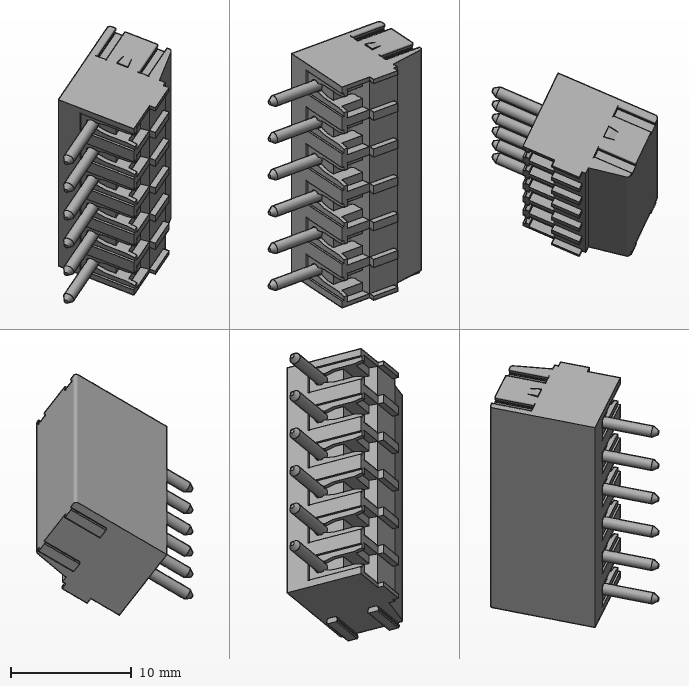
import cadquery as cq
import math


POLES = 6
HEIGHT = 21.0
PITCH = HEIGHT / POLES
DEPTH = 9.13
WIDTH = 7.01
SHOULDER_Y = 5.7
SHOULDER_X = 6.47
MATING_END_X = 5.87
CORNER_RADIUS = 0.28

RIB_REACH = 0.55
RIB_THICKNESS = 0.78
RIB_START_Y = 2.85
RIB_END_Y = 5.35

PIN_X = 3.05
PIN_RADIUS = 0.47
PIN_LENGTH = 4.53
PIN_ROOT = 1.73
TIP_LENGTH = 0.47
TIP_RADIUS = 0.17
PIN_CLEARANCE = 0.06

POCKET_X = 2.0
POCKET_HEIGHT = 2.18
POCKET_DEPTH = 0.2

GROOVE_FLOOR_Y = 0.56
GROOVE_TIP_HEIGHT = 0.78
GROOVE_TIP_X = PIN_X + 0.35
GROOVE_HEIGHT = 1.19
GROOVE_FULL_X = 4.25
FLARE_X = 6.25
FLARE_HEIGHT = 1.49

SLOT_X = 5.05
SLOT_FLOOR_Y = 2.6
SLOT_FILLET = 0.28
SLOPE_X = 5.68
SLOPE_ANGLE = 9.4
WINDOW_HEIGHT = PITCH - RIB_THICKNESS

RAIL_CENTERS_X = (1.08, 4.98)
RAIL_NECK_WIDTH = 0.78
RAIL_WIDTH = 1.04
RAIL_FOOT_WIDTH = 0.86
RAIL_HEIGHT = 0.5
RAIL_WIDEST_DEPTH = 0.3
RAIL_CHEEK = 0.09
RAIL_LENGTH = 3.5
RAIL_GROOVE_LENGTH = 3.43
RAIL_GROOVE_DEPTH = 0.58
RAIL_MOUTH_RADIUS = 0.15

BUMP_X = 3.01
BUMP_START_Y = 5.75
BUMP_CREST_END_Y = 6.1
BUMP_END_Y = 6.65
BUMP_HEIGHT = 0.09
BUMP_FRONT_WIDTH = 1.01
BUMP_BACK_WIDTH = 0.75


def make_housing():
    outline = [
        (0, 0),
        (WIDTH, 0),
        (WIDTH, SHOULDER_Y),
        (SHOULDER_X, SHOULDER_Y),
        (MATING_END_X, DEPTH),
        (0, DEPTH),
    ]
    block = cq.Workplane("XY").polyline(outline).close().extrude(HEIGHT)
    return block.edges("|Z and >Y").fillet(CORNER_RADIUS)


def box_between(x0, x1, y0, y1, z0, z1):
    return cq.Workplane("XY").box(x1 - x0, y1 - y0, z1 - z0, centered=False).translate((x0, y0, z0))


def make_rib(boundary_z):
    """Rib centered on a pole boundary, cut off at the ends of the housing."""
    bottom = max(0, boundary_z - RIB_THICKNESS / 2)
    top = min(HEIGHT, boundary_z + RIB_THICKNESS / 2)
    return box_between(FLARE_X, WIDTH + RIB_REACH, RIB_START_Y, RIB_END_Y, bottom, top)


def make_pin():
    """Pin with a conical tip, centered on Z = 0."""
    half_profile = [
        (0, PIN_ROOT),
        (PIN_RADIUS, PIN_ROOT),
        (PIN_RADIUS, TIP_LENGTH - PIN_LENGTH),
        (TIP_RADIUS, -PIN_LENGTH),
        (0, -PIN_LENGTH),
    ]
    pin = cq.Workplane("XY").polyline(half_profile).close().revolve(360, (0, 0), (0, 1))
    return pin.translate((PIN_X, 0, 0))


def extrude_from_front(sketch, depth):
    """Extrude a closed XZ outline from the front face (Y = 0) toward +Y."""
    return sketch.extrude(-depth)


def make_slot(height, start_x, start_y):
    """Part of the deep slot beyond start_x and start_y, centered on Z = 0."""
    slope_rise = (WIDTH - SLOPE_X) * math.tan(math.radians(SLOPE_ANGLE))
    arc_offset = SLOT_FILLET * (1 - math.sqrt(0.5))
    slot = (
        cq.Workplane("XY", origin=(0, 0, -height / 2))
        .moveTo(SLOT_X, 0)
        .lineTo(SLOT_X, SLOT_FLOOR_Y - SLOT_FILLET)
        .threePointArc(
            (SLOT_X + arc_offset, SLOT_FLOOR_Y - arc_offset),
            (SLOT_X + SLOT_FILLET, SLOT_FLOOR_Y),
        )
        .lineTo(SLOPE_X, SLOT_FLOOR_Y)
        .lineTo(WIDTH, SLOT_FLOOR_Y + slope_rise)
        .lineTo(WIDTH, 0)
        .close()
        .extrude(height)
    )
    return slot.intersect(box_between(start_x, WIDTH, start_y, DEPTH, -height / 2, height / 2))


def make_pole_cavity():
    """Everything removed around one pin, centered on Z = 0."""
    half_pocket = POCKET_HEIGHT / 2
    pocket = box_between(POCKET_X, WIDTH, 0, POCKET_DEPTH, -half_pocket, half_pocket)

    upper_edge = [
        (PIN_X, GROOVE_TIP_HEIGHT / 2),
        (GROOVE_TIP_X, GROOVE_TIP_HEIGHT / 2),
        (GROOVE_FULL_X, GROOVE_HEIGHT / 2),
        (FLARE_X, GROOVE_HEIGHT / 2),
        (WIDTH, FLARE_HEIGHT / 2),
    ]
    lower_edge = [(x, -z) for x, z in reversed(upper_edge)]
    groove_outline = cq.Workplane("XZ").polyline(upper_edge + lower_edge).close()
    groove = extrude_from_front(groove_outline, GROOVE_FLOOR_Y)

    hole_outline = cq.Workplane("XZ").center(PIN_X, 0).circle(PIN_RADIUS + PIN_CLEARANCE)
    pin_hole = extrude_from_front(hole_outline, GROOVE_FLOOR_Y)

    slot = make_slot(GROOVE_HEIGHT, SLOT_X, GROOVE_FLOOR_Y)
    window = make_slot(WINDOW_HEIGHT, FLARE_X, GROOVE_FLOOR_Y)
    return pocket.union(groove).union(pin_hole).union(slot).union(window)


def dovetail(height, length):
    """Dovetail bar ending at the mating face, hanging from Z = 0, centered on X = 0."""
    right_side = [
        (RAIL_NECK_WIDTH / 2, 0),
        (RAIL_WIDTH / 2, -RAIL_WIDEST_DEPTH),
        (RAIL_WIDTH / 2, -RAIL_WIDEST_DEPTH - RAIL_CHEEK),
        (RAIL_FOOT_WIDTH / 2, -height),
    ]
    left_side = [(-x, z) for x, z in reversed(right_side)]
    bar = cq.Workplane("XZ").polyline(right_side + left_side).close().extrude(length)
    return bar.translate((0, DEPTH, 0))


def make_rail_groove():
    """Dovetail groove with a rounded mouth, top at Z = 0, centered on X = 0."""
    neck = RAIL_NECK_WIDTH / 2
    mouth = neck + RAIL_MOUTH_RADIUS
    arc_offset = RAIL_MOUTH_RADIUS * (1 - math.sqrt(0.5))
    rounded_mouth = (
        cq.Workplane("XZ")
        .moveTo(-mouth, 0)
        .threePointArc((-neck - arc_offset, -arc_offset), (-neck, -RAIL_MOUTH_RADIUS))
        .lineTo(neck, -RAIL_MOUTH_RADIUS)
        .threePointArc((neck + arc_offset, -arc_offset), (mouth, 0))
        .close()
        .extrude(RAIL_GROOVE_LENGTH)
        .translate((0, DEPTH, 0))
    )
    undercut_depth = RAIL_GROOVE_DEPTH - RAIL_MOUTH_RADIUS
    undercut = dovetail(undercut_depth, RAIL_GROOVE_LENGTH).translate((0, 0, -RAIL_MOUTH_RADIUS))
    return rounded_mouth.union(undercut)


def make_bump():
    """Latch bump: flat crest, ramp falling toward +Y, sides narrowing toward +Y."""
    side_profile = [
        (BUMP_START_Y, 0),
        (BUMP_START_Y, BUMP_HEIGHT),
        (BUMP_CREST_END_Y, BUMP_HEIGHT),
        (BUMP_END_Y, 0),
    ]
    plan = [
        (-BUMP_FRONT_WIDTH / 2, BUMP_START_Y),
        (BUMP_FRONT_WIDTH / 2, BUMP_START_Y),
        (BUMP_BACK_WIDTH / 2, BUMP_END_Y),
        (-BUMP_BACK_WIDTH / 2, BUMP_END_Y),
    ]
    ramp = cq.Workplane("YZ").polyline(side_profile).close().extrude(BUMP_FRONT_WIDTH / 2, both=True)
    taper = cq.Workplane("XY").polyline(plan).close().extrude(BUMP_HEIGHT)
    return ramp.intersect(taper).translate((BUMP_X, 0, HEIGHT))


result = make_housing()

for boundary in range(POLES + 1):
    result = result.union(make_rib(boundary * PITCH))

pole_cavity = make_pole_cavity()
pin = make_pin()
for pole in range(POLES):
    pole_center = (0, 0, (pole + 0.5) * PITCH)
    result = result.cut(pole_cavity.translate(pole_center)).union(pin.translate(pole_center))

rail = dovetail(RAIL_HEIGHT, RAIL_LENGTH)
rail_groove = make_rail_groove()
for center_x in RAIL_CENTERS_X:
    result = result.union(rail.translate((center_x, 0, 0)))
    result = result.cut(rail_groove.translate((center_x, 0, HEIGHT)))

result = result.union(make_bump())